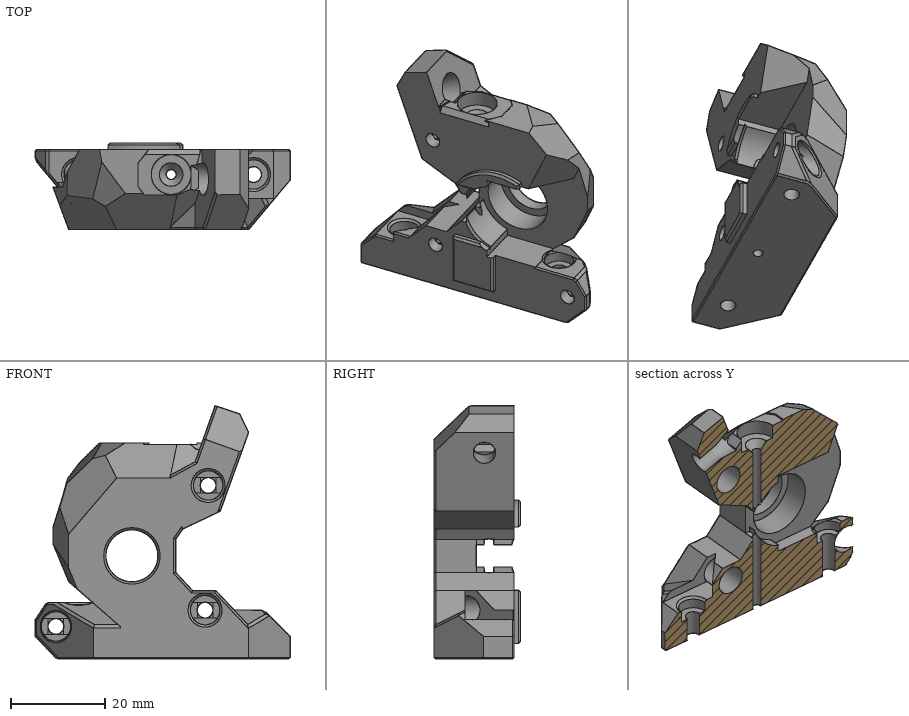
import cadquery as cq
import math

LENGTH = 54.05
HEIGHT = 53.7
DEPTH = 18.4
BACK = 17.05
EDGE = 0.5
BASE_EDGE = 0.3
FAR = 108.1

TAB_TOP = 12.0
FOOT_TOP = 10.4
SLOPE_START = 7.05
SLOPE_RISE = 0.5
LEFT_CORNER = 12.3
RIGHT_CORNER = 45.25
FLANK_DEPTH = 14.7
FLANK_RISE = FLANK_DEPTH / LEFT_CORNER
BASE_SPLIT = 31.35
WEB_BACK = 6.6
RECESS_FLOOR = 8.3
HEADROOM = 8.9

TOP = 45.8
PAD_TOP = 45.45
WALL_X = 29.8
WALL_Z = (18.3, 25.35)
THIN_WALL_X = 28.7
AXIS_X, AXIS_Z = 20.5, 21.85

ARM_FOOT = (33.9, 41.8)
ARM_TIP = (38.1, HEIGHT)
ARM_HEEL = (39.25, 31.3)
THROAT = (31.3, 27.5)
DIP = (28.55, 38.85)
ARM_TILT = math.atan2(ARM_TIP[0] - ARM_FOOT[0], ARM_TIP[1] - ARM_FOOT[1])

SHAFT_D = 11.0
SEAT_D = 14.2
SEAT_FLOOR = 3.25
POCKET_FLOOR = 9.05
POCKET_R = 8.55
SLOT_HALF = 9.75
POCKET_SLOT_X = 23.0
BORE_D = 6.2
SCREW_D = 3.3
BORE_FLOOR = 13.8
BRIDGE = 0.2
FRONT_BORES = [(36.65, 36.75), (36.0, 10.3)]
FLANK_BORE = (4.4, 6.85)
BASE_BORES = [(9.2, TAB_TOP), (46.3, RECESS_FLOOR)]
BORE_Y = 11.7
BASE_BORE_DEPTH = 2.7
WIRE_X = 28.8
WIRE_D = 2.05


def prism(points, y0, y1):
    """XZ outline extruded from Y = y0 to Y = y1."""
    return cq.Workplane("XZ", origin=(0, y0, 0)).polyline(points).close().extrude(y0 - y1)


def half_space(a, b, c, outside):
    """Block filling the side of the plane through a, b and c that holds the point `outside`."""
    origin = cq.Vector(*a)
    along = cq.Vector(*b) - origin
    normal = along.cross(cq.Vector(*c) - origin)
    if normal.dot(cq.Vector(*outside) - origin) < 0:
        normal = normal * -1
    return cq.Workplane(cq.Plane(origin, along, normal)).rect(FAR, FAR).extrude(FAR)


def rod(diameter, start, direction, length, end_diameter=None):
    """Cylinder, or cone when an end diameter is given."""
    first, last = diameter / 2, (end_diameter or diameter) / 2
    if first == last:
        solid = cq.Solid.makeCylinder(first, length, cq.Vector(*start), cq.Vector(*direction))
    else:
        solid = cq.Solid.makeCone(first, last, length, cq.Vector(*start), cq.Vector(*direction))
    return cq.Workplane(solid)


def make_base():
    outline = [
        (4.55, 0), (0, 4.75), (0, 8.3), (2.45, TAB_TOP), (BASE_SPLIT, TAB_TOP),
        (BASE_SPLIT, FOOT_TOP), (48.45, FOOT_TOP), (LENGTH, 4.75), (LENGTH, 0),
    ]
    base = prism(outline, 0, BACK)
    base = base.cut(half_space(
        (LEFT_CORNER, 0, 0), (0, FLANK_DEPTH, 0), (0, FLANK_DEPTH, TAB_TOP), (0, 0, 0)))
    flank_y = (LENGTH - RIGHT_CORNER) * FLANK_RISE
    base = base.cut(half_space(
        (RIGHT_CORNER, 0, 0), (LENGTH, flank_y, 0), (LENGTH, flank_y, TAB_TOP), (LENGTH, 0, 0)))
    base = base.cut(half_space(
        (0, 0, SLOPE_START), (LENGTH, 0, SLOPE_START),
        (0, BACK, SLOPE_START + SLOPE_RISE * BACK), (0, 0, HEIGHT)))
    base = base.cut(foot_recess())
    left_flank_edges = cq.selectors.BoxSelector((-0.55, 2.7, 2.15), (10.8, 15.15, 12.45))
    right_flank_edge = cq.selectors.BoxSelector((45.4, 1.1, 7.05), (49.75, 5.95, 10.25))
    front_edge = cq.selectors.BoxSelector((24.3, -0.55, 6.5), (35.15, 0.55, 7.55))
    base = base.edges(left_flank_edges + right_flank_edge + front_edge).chamfer(EDGE)
    return base.faces("<Z or >Y").edges().chamfer(BASE_EDGE)


def foot_recess():
    """Lowered rear part of the foot, bounded by a front web and a diagonal wall."""
    wall_x = 35.95
    depth = BACK - WEB_BACK
    outline = [(wall_x, WEB_BACK), (LENGTH + 0.55, WEB_BACK), (LENGTH + 0.55, BACK), (wall_x + depth, BACK)]
    return cq.Workplane("XY", origin=(0, 0, RECESS_FLOOR)).polyline(outline).close().extrude(HEADROOM)


def make_body():
    outline = [
        (18.05, 6.8), (7.15, 16.3), (3.75, 19.45), (3.75, TOP), (35.7, TOP), ARM_FOOT, ARM_HEEL,
        THROAT, (WALL_X, WALL_Z[1]), (WALL_X, WALL_Z[0]), (33.35, 14.5), (38.3, 14.5),
        (45.2, 7.15), (45.2, 4.3), (18.05, 4.3),
    ]
    body = prism(outline, 0, BACK)
    body = body.edges(cq.selectors.BoxSelector((29.2, -0.55, 7.55), (43.25, 0.55, 35.15))).chamfer(EDGE)
    return facet(body.cut(foot_recess()))


def facet(body):
    """Cuts the flat facets of the upper left side; each is given by three of its corners."""
    front_top = (17.25, 0, 38.35)
    front_mid = (7.1, 0, 26.45)
    front_low = (7.1, 0, 19.25)
    top_front = (19.1, 7.6, TOP)
    top_mid = (14.1, 14.3, TOP)
    top_back = (13.6, BACK, TOP)
    upper = (12.75, 6.45, 42.7)
    middle = (6.7, 7.25, 37.2)
    left_upper = (3.75, POCKET_FLOOR, 27.85)
    left_lower = (3.75, POCKET_FLOOR, 24.45)
    left_foot = (7.15, POCKET_FLOOR, 16.2)
    facets = [
        (front_top, top_front, (WALL_X, 0, front_top[2]), (WALL_X, 0, HEIGHT)),
        (front_top, front_mid, middle, (0, 0, HEIGHT)),
        (top_front, top_mid, upper, (0, 0, HEIGHT)),
        (top_mid, top_back, middle, (0, 0, HEIGHT)),
        (left_upper, (5.2, 5.45, 32.1), middle, (0, 0, 32.45)),
        (front_mid, front_low, left_upper, (0, 0, 24.3)),
        (front_low, left_lower, left_foot, (0, 0, 16.2)),
    ]
    for corner_a, corner_b, corner_c, outside in facets:
        body = body.cut(half_space(corner_a, corner_b, corner_c, outside))
    return body


def make_arm():
    outline = [ARM_FOOT, ARM_TIP, (43.35, 51.95), (45.25, 48.0), ARM_HEEL, THROAT, DIP]
    arm = prism(outline, 0, BACK)
    slant_left = (36.15, 0, 46.5)
    slant_right = (43.35, 0, 43.9)
    arm = arm.cut(half_space(slant_left, slant_right, (ARM_TIP[0], 7.35, HEIGHT), (37.85, 0, HEIGHT)))
    left_edges = cq.selectors.BoxSelector((28.65, -0.55, 38.4), (37.6, 5.4, 51.35))
    right_edges = cq.selectors.BoxSelector((37.85, -0.55, 32.45), (44.6, 0.55, 40.55))
    return arm.edges(left_edges).chamfer(EDGE).edges(right_edges).chamfer(EDGE)


def corner_notch():
    """Wedge removed where the front of the body dips towards the arm."""
    outline = [DIP, ARM_FOOT, ARM_TIP, (DIP[0], HEIGHT)]
    front = half_space((DIP[0], 0, 38.35), (ARM_FOOT[0], 5.6, ARM_FOOT[1]),
                       (30.05, 7.25, 45.4), (ARM_FOOT[0], 0, HEIGHT))
    return prism(outline, -0.55, BACK).intersect(front)


def wire_pad():
    """Shallow recess in the top of the body."""
    outline = [(24.1, BACK), (21.75, 14.0), (21.75, 9.2), (23.35, 7.05), (32.45, 7.05), (35.15, BACK)]
    pad = cq.Workplane("XY", origin=(0, 0, PAD_TOP)).polyline(outline).close().extrude(TOP - PAD_TOP)
    bevel = 1.15
    left, right = 23.25, 34.9
    bevel_outline = [(BACK, PAD_TOP - bevel), (BACK, PAD_TOP), (BACK - bevel, PAD_TOP)]
    rear_bevel = cq.Workplane("YZ", origin=(left, 0, 0)).polyline(bevel_outline).close().extrude(right - left)
    return pad.union(rear_bevel)


def gear_pocket():
    """Round pocket open to the rear and, through a straight slot, to the left."""
    round_part = rod(2 * POCKET_R, (AXIS_X, POCKET_FLOOR, AXIS_Z), (0, 1, 0), DEPTH)
    low, high = AXIS_Z - SLOT_HALF, AXIS_Z + SLOT_HALF
    slot = prism([(-0.55, low), (POCKET_SLOT_X, low), (POCKET_SLOT_X, high), (-0.55, high)], POCKET_FLOOR, DEPTH)
    mouth = rod(2 * POCKET_R, (AXIS_X, BACK - EDGE, AXIS_Z), (0, 1, 0), EDGE, 2 * (POCKET_R + EDGE))
    return round_part.union(slot).union(mouth)


def wall_thinning():
    """Rear part of the right wall, set back so that the pocket breaks through it."""
    low, high = WALL_Z
    return prism([(THIN_WALL_X, low), (WALL_X + 0.55, low), (WALL_X + 0.55, high), (THIN_WALL_X, high)],
                 POCKET_FLOOR, BACK)


def left_trim():
    """Slanted undercut on the rear left side of the body, above the pocket."""
    slot_top = AXIS_Z + SLOT_HALF
    side = half_space((5.8, POCKET_FLOOR, 34.5), (9.35, BACK, 41.6), (13.75, BACK, 31.55),
                      (0, POCKET_FLOOR, 0))
    limits = prism([(0, slot_top), (AXIS_X, slot_top), (AXIS_X, TOP), (0, TOP)], POCKET_FLOOR, BACK)
    return side.intersect(limits)


def rear_rims():
    """Low rims on the rear face, beside the pocket."""
    rim_d = 23.8
    upper = rod(rim_d, (AXIS_X, BACK - 0.55, AXIS_Z), (0, 1, 0), DEPTH - BACK + 0.55)
    left, right = 15.4, 31.3
    upper_low = 27.95
    lower_left, lower_low, lower_high = 21.6, 3.25, 14.6
    upper = upper.intersect(prism(
        [(left, upper_low), (right, upper_low), (right, TOP), (left, TOP)], BACK - 0.55, DEPTH))
    lower = prism(
        [(lower_left, lower_low), (right, lower_low), (right, lower_high), (lower_left, lower_high)],
        BACK - 0.55, DEPTH)
    return upper.faces(">Y").chamfer(EDGE).union(lower.faces(">Y").chamfer(EDGE))


def front_bore(x, z):
    """Screw bore from the front, with a slot and a square stepping down to the screw hole."""
    bore = rod(BORE_D, (x, -0.55, z), (0, 1, 0), BORE_FLOOR + 0.55)
    bore = bore.union(rod(SCREW_D, (x, 0, z), (0, 1, 0), DEPTH))
    layers = cq.Workplane("XZ", origin=(x, BORE_FLOOR, z))
    slot = rod(BORE_D, (x, BORE_FLOOR, z), (0, 1, 0), BRIDGE).intersect(
        layers.rect(BORE_D, SCREW_D).extrude(-BRIDGE))
    square = layers.rect(SCREW_D, SCREW_D).extrude(-2 * BRIDGE)
    return bore.union(slot).union(square)


def front_bore_mouth(x, z):
    return rod(BORE_D + 2 * EDGE, (x, 0, z), (0, 1, 0), EDGE, BORE_D)


def base_bore(x, top):
    """Vertical screw bore with a chamfered mouth."""
    bore = rod(BORE_D, (x, BORE_Y, top - BASE_BORE_DEPTH), (0, 0, 1), BASE_BORE_DEPTH + 0.55)
    mouth = rod(BORE_D, (x, BORE_Y, top - EDGE), (0, 0, 1), EDGE, BORE_D + 2 * EDGE)
    return bore.union(mouth).union(rod(SCREW_D, (x, BORE_Y, -0.55), (0, 0, 1), top))


def shaft_hole():
    hole = rod(SHAFT_D, (AXIS_X, -0.55, AXIS_Z), (0, 1, 0), POCKET_FLOOR + 1.1)
    seat = rod(SEAT_D, (AXIS_X, SEAT_FLOOR, AXIS_Z), (0, 1, 0), POCKET_FLOOR - SEAT_FLOOR)
    return hole.union(seat).union(rod(SHAFT_D + 2 * EDGE, (AXIS_X, 0, AXIS_Z), (0, 1, 0), EDGE, SHAFT_D))


def wire_path():
    """Vertical wire hole with a wide bore and a funnel at its upper end."""
    inlet_d, inlet_depth = 8.45, 3.25
    funnel_d, funnel_depth = 5.0, 1.6
    inlet_floor = PAD_TOP - inlet_depth
    path = rod(WIRE_D, (WIRE_X, BORE_Y, -0.55), (0, 0, 1), TOP)
    path = path.union(rod(inlet_d, (WIRE_X, BORE_Y, inlet_floor), (0, 0, 1), inlet_depth + 0.55))
    return path.union(rod(WIRE_D, (WIRE_X, BORE_Y, inlet_floor - funnel_depth), (0, 0, 1),
                          funnel_depth, funnel_d))


def arm_bore():
    """Funnel square to the arm's left face, reached over a ramp in the top of the body."""
    mouth_d, hole_d, funnel_depth = 6.8, 4.7, 4.1
    run_out = 4.3
    y, z = 10.7, 46.55
    ramp_top = (33.0, 45.45)
    ramp_end = (35.4, 43.1)
    x = ARM_FOOT[0] + (z - ARM_FOOT[1]) * math.tan(ARM_TILT)
    axis = cq.Vector(math.cos(ARM_TILT), 0, -math.sin(ARM_TILT))
    inward = axis.toTuple()
    mouth = (x, y, z)
    groove = rod(mouth_d, (cq.Vector(*mouth) - axis * run_out).toTuple(), inward, run_out)
    groove = groove.intersect(half_space(
        (ramp_top[0], 0, ramp_top[1]), (ramp_end[0], 0, ramp_end[1]),
        (ramp_top[0], BACK, ramp_top[1]), mouth))
    funnel = rod(mouth_d, mouth, inward, funnel_depth, hole_d)
    return groove.union(funnel).union(rod(hole_d, mouth, inward, LENGTH - x))


def flank_mouth_edge():
    """Box round the centre of the bore mouth in the left slanted flank."""
    x, z = FLANK_BORE
    y = (LEFT_CORNER - x) * FLANK_RISE
    return cq.selectors.BoxSelector((x - 0.55, y - 0.55, z - 0.55), (x + 0.55, y + 0.55, z + 0.55))


result = make_body().cut(left_trim()).union(make_arm()).union(make_base())
result = result.union(rear_rims()).cut(gear_pocket()).cut(wall_thinning())
result = result.cut(corner_notch()).cut(wire_pad())
result = result.cut(shaft_hole()).cut(wire_path()).cut(arm_bore())
for bore_x, bore_z in FRONT_BORES:
    result = result.cut(front_bore(bore_x, bore_z)).cut(front_bore_mouth(bore_x, bore_z))
result = result.cut(front_bore(*FLANK_BORE)).edges(flank_mouth_edge()).chamfer(BASE_EDGE)
for bore_x, bore_top in BASE_BORES:
    result = result.cut(base_bore(bore_x, bore_top))